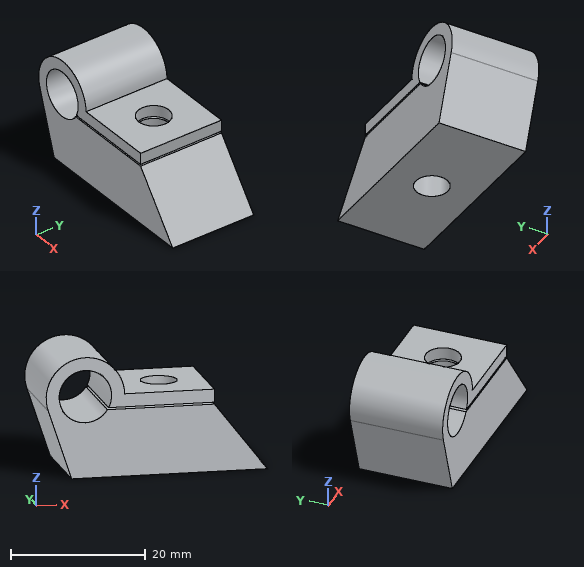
import cadquery as cq
import math

width = 15.0
outer_radius = 6.0
bore_radius = 4.0
base_z = -12.53
base_left_x = -2.1
base_right_x = 33.87 - outer_radius
flap_right_x = 19.75
flap_top_z = 0.15
flap_thickness = 2.0
slot_height = 0.3
screw_x = 12.85
screw_diameter = 5.5

slot_top_z = flap_top_z - flap_thickness
slot_bottom_z = slot_top_z - slot_height


def left_tangent_point(x, z, radius):
    """Point where the left-hand tangent from (x, z) touches a circle centred on the origin."""
    angle = math.atan2(z, x) - math.acos(radius / math.hypot(x, z))
    return radius * math.cos(angle), radius * math.sin(angle)


tangent_point = left_tangent_point(base_left_x, base_z, outer_radius)
flap_root_x = math.sqrt(outer_radius**2 - flap_top_z**2)
body = (
    cq.Workplane("XZ")
    .moveTo(base_left_x, base_z)
    .lineTo(*tangent_point)
    .threePointArc((0, outer_radius), (flap_root_x, flap_top_z))
    .lineTo(flap_right_x, flap_top_z)
    .lineTo(flap_right_x, slot_bottom_z)
    .lineTo(base_right_x, base_z)
    .close()
    .extrude(width / 2, both=True)
)

bore = cq.Workplane("XZ").circle(bore_radius).extrude(width, both=True)

slot = cq.Workplane("XY").box(flap_right_x, 2 * width, slot_height, centered=(False, True, False))
slot = slot.translate((0, 0, slot_bottom_z))

screw_hole = (
    cq.Workplane("XY", origin=(screw_x, 0, base_z))
    .circle(screw_diameter / 2)
    .extrude(flap_top_z - base_z)
)

result = body.cut(bore).cut(slot).cut(screw_hole)